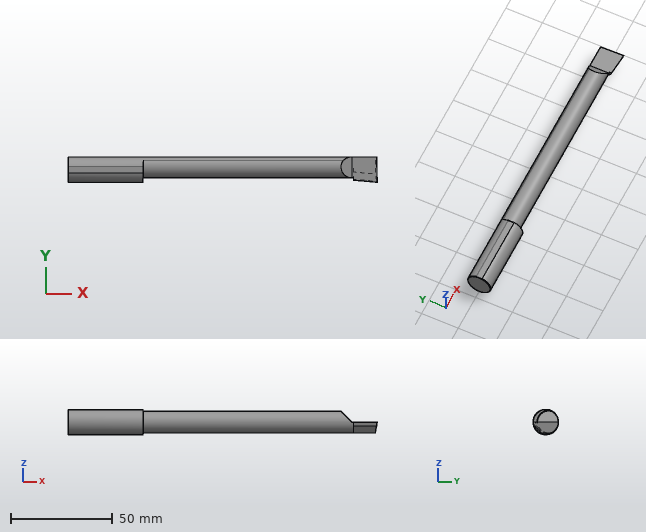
import cadquery as cq
import math

total_length = 152.4
shank_radius = 12.6 / 2
shank_length = 36.9
flat_width = 3.2
flat_height = math.sqrt(shank_radius**2 - (flat_width / 2) ** 2)
end_chamfer = 0.3

neck_radius = 10.8 / 2
neck_offset = 1.4
root_chamfer = 0.3

ramp_end = 139.9
ramp_angle = 45.0

tip_start = 140.5
tip_start_y = -5.2
tip_end_y = -6.2
end_skew = 0.3
end_relief_angle = 9.0
upper_relief_depth = 1.8
upper_relief_angle = 15.0
lower_relief_angle = 45.0


def rod(radius, start, end, y=0.0):
    """Cylinder along X between two stations."""
    return cq.Workplane("YZ", origin=(start, y, 0)).circle(radius).extrude(end - start)


def make_shank():
    shank = rod(shank_radius, 0, shank_length).faces("<X").chamfer(end_chamfer)
    above_flat = (
        cq.Workplane("XY", origin=(0, 0, flat_height))
        .rect(2 * total_length, 2 * shank_radius)
        .extrude(shank_radius)
    )
    return shank.cut(above_flat)


def make_neck():
    neck = rod(neck_radius, shank_length, total_length, neck_offset)
    root_cone = cq.Solid.makeCone(
        neck_radius + root_chamfer,
        neck_radius,
        root_chamfer,
        pnt=cq.Vector(shank_length, neck_offset, 0),
        dir=cq.Vector(1, 0, 0),
    )
    neck = neck.union(cq.Workplane("XY").add(root_cone))
    neck = neck.intersect(rod(shank_radius, shank_length, total_length))
    ramp_top = 2 * shank_radius
    ramp_run = ramp_top / math.tan(math.radians(ramp_angle))
    cutout = (
        cq.Workplane("XZ")
        .moveTo(ramp_end, 0)
        .lineTo(2 * total_length, 0)
        .lineTo(2 * total_length, ramp_top)
        .lineTo(ramp_end - ramp_run, ramp_top)
        .close()
        .extrude(2 * shank_radius, both=True)
    )
    return neck.cut(cutout)


def make_tip():
    lower_relief_depth = neck_radius - upper_relief_depth
    upper_inset = upper_relief_depth * math.tan(math.radians(upper_relief_angle))
    lower_inset = lower_relief_depth * math.tan(math.radians(lower_relief_angle))

    def side_section(x, edge_y):
        points = [
            (neck_offset, 0),
            (edge_y, 0),
            (edge_y + upper_inset, -upper_relief_depth),
            (edge_y + upper_inset + lower_inset, -neck_radius),
            (neck_offset, -neck_radius),
        ]
        return cq.Wire.makePolygon([cq.Vector(x, y, z) for y, z in points], close=True)

    sections = [side_section(tip_start, tip_start_y), side_section(total_length, tip_end_y)]
    return cq.Workplane("XY").add(cq.Solid.makeLoft(sections, True))


def end_relief():
    """Block beyond the end face, which leans back below the cutting edge."""
    skew_angle = math.degrees(math.atan2(end_skew, shank_radius - tip_end_y))
    size = 4 * shank_radius
    block = cq.Workplane("XY").box(size, size, size, centered=(False, True, True))
    return (
        block.rotate((0, 0, 0), (0, 1, 0), end_relief_angle)
        .rotate((0, 0, 0), (0, 0, 1), skew_angle)
        .translate((total_length, tip_end_y, 0))
    )


result = make_shank().union(make_neck()).union(make_tip()).cut(end_relief())